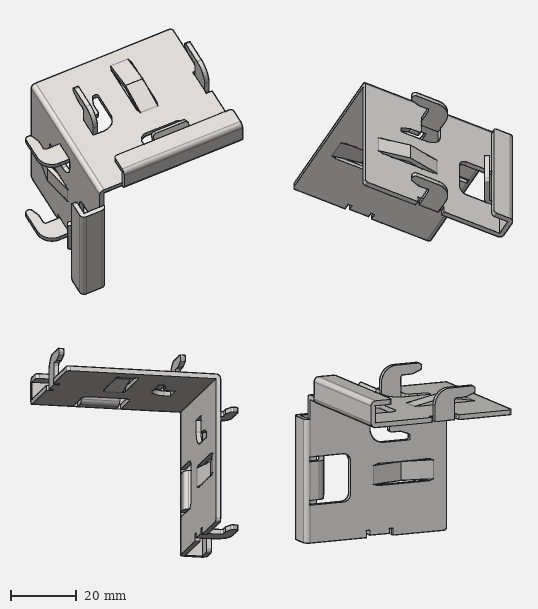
import cadquery as cq
import math


sheet = 1.5
plate_width = 46.0
top_length = 48.0
front_length = 46.05
corner_radius = 1.0
bend_radius = sheet

hook_height = 8.5
hook_tip_x = 12.25
hook_throat_x = 19.2
hook_back_x = 25.75
hook_ramp = 3.2
hook_tip_depth = 2.05
hook_arm_depth = 3.2
hook_back_radius = 5.05
hook_tip_radius = 1.0
hook_throat_radius = 0.8
hook_tip_underside_radius = 0.75
opening_length = 8.3
opening_trim = 0.3
opening_tip_radius = 0.5
notch_start_x = 17.95
notch_end_x = 26.95

top_hook_y = 8.1
top_opening_y = top_hook_y
top_notch_depth = 2.0
top_centre_y = 27.75
front_hook_y = 7.1
front_opening_y = front_hook_y + sheet
front_notch_depth = 2.2
front_centre_y = 26.8

bridge_start_x = 4.45
bridge_length = 20.1
bridge_width = 5.9
bridge_rise = 1.85
bridge_slot_width = 6.9
bridge_slot_lead = 1.5

window_start_x = 32.3
window_end_x = plate_width
window_width = 15.0
window_radius = 2.5
tab_width = 12.0
tab_height = 7.3
tab_lean = 27.0
tab_foot_x = 42.5
tab_bend_radius = 0.7
tab_corner_radius = 1.0

rail_start_y = 7.6
rail_height = 6.85
rail_lip_width = 7.0


def block(x0, x1, y0, y1, z0, z1):
    """Box between two opposite corners."""
    return cq.Workplane("XY").box(x1 - x0, y1 - y0, z1 - z0, centered=False).translate((x0, y0, z0))


def rounded(solid, direction, corner, radius):
    """Fillet the edge running in the given direction whose middle lies nearest to the corner."""
    nearest = cq.selectors.NearestToPointSelector(corner)
    return solid.edges(direction).edges(nearest).fillet(radius)


def hook_blade(height, trim, tip_radius):
    """Upright hook standing on Z = 0, one sheet thick in Y, its arm thinned by trim."""
    arm_z = height - hook_arm_depth + trim
    tip_z = height - hook_tip_depth + trim
    blade = (
        cq.Workplane("XZ")
        .polyline([
            (hook_throat_x, 0),
            (hook_throat_x, arm_z),
            (hook_tip_x + hook_ramp, arm_z),
            (hook_tip_x, tip_z),
            (hook_tip_x, height),
            (hook_back_x, height),
            (hook_back_x, 0),
        ])
        .close()
        .extrude(-sheet)
    )
    middle_y = sheet / 2
    blade = rounded(blade, "|Y", (hook_back_x, middle_y, height), hook_back_radius - trim)
    blade = rounded(blade, "|Y", (hook_throat_x, middle_y, arm_z), hook_throat_radius)
    blade = rounded(blade, "|Y", (hook_tip_x, middle_y, tip_z), hook_tip_underside_radius)
    return rounded(blade, "|Y", (hook_tip_x, middle_y, height), tip_radius)


def hook(y):
    """Hook whose face nearest the bend is at y, rooted through the sheet."""
    blade = hook_blade(hook_height, 0, hook_tip_radius).translate((0, y, 0))
    return blade.union(block(hook_throat_x, hook_back_x, y, y + sheet, -sheet, 0))


def hook_opening(y):
    """Hook-shaped hole that starts at y and points away from the bend."""
    blade = hook_blade(opening_length, opening_trim, opening_tip_radius)
    return blade.rotate((0, 0, 0), (1, 0, 0), -90).translate((0, y, 0))


def bridge_slot(y):
    """Slot that frees both long sides of the bridge, tapering to the bridge width at its ends."""
    end_x = bridge_start_x + bridge_length
    half_slot = bridge_slot_width / 2
    half_bridge = bridge_width / 2
    return (
        cq.Workplane("XY", origin=(0, y, -sheet))
        .polyline([
            (bridge_start_x, -half_bridge),
            (bridge_start_x + bridge_slot_lead, -half_slot),
            (end_x - bridge_slot_lead, -half_slot),
            (end_x, -half_bridge),
            (end_x, half_bridge),
            (end_x - bridge_slot_lead, half_slot),
            (bridge_start_x + bridge_slot_lead, half_slot),
            (bridge_start_x, half_bridge),
        ])
        .close()
        .extrude(sheet)
    )


def bridge(y):
    """Roof-shaped strip of sheet joined to the plate at both ends."""
    middle_x = bridge_start_x + bridge_length / 2
    end_x = bridge_start_x + bridge_length
    return (
        cq.Workplane("XZ", origin=(0, y, 0))
        .polyline([
            (bridge_start_x, 0),
            (middle_x, bridge_rise),
            (end_x, 0),
            (end_x, -sheet),
            (middle_x, bridge_rise - sheet),
            (bridge_start_x, -sheet),
        ])
        .close()
        .extrude(bridge_width / 2, both=True)
    )


def window(y):
    """Window rounded at the corners away from the rail."""
    half = window_width / 2
    opening = block(window_start_x, window_end_x, y - half, y + half, -sheet, 0)
    return opening.edges("|Z and <X").fillet(window_radius)


def spring_tab(y):
    """Tab rooted in the window's end, bent up and leaning back over the window."""
    lean = math.radians(tab_lean)
    length = tab_height / math.cos(lean)
    inner_top = (tab_foot_x - length * math.sin(lean), length * math.cos(lean))
    outer_top = (inner_top[0] - sheet * math.cos(lean), inner_top[1] - sheet * math.sin(lean))
    outer_foot_x = tab_foot_x - sheet * math.tan((math.pi / 2 - lean) / 2)
    tip_edges = cq.selectors.ParallelDirSelector(cq.Vector(math.cos(lean), 0, math.sin(lean)))
    strip = (
        cq.Workplane("XZ", origin=(0, y, 0))
        .polyline([
            (window_end_x, 0),
            (tab_foot_x, 0),
            inner_top,
            outer_top,
            (outer_foot_x, -sheet),
            (window_end_x, -sheet),
        ])
        .close()
        .extrude(tab_width / 2, both=True)
    )
    strip = rounded(strip, "|Y", (tab_foot_x, y, 0), tab_bend_radius)
    strip = rounded(strip, "|Y", (outer_foot_x, y, -sheet), tab_bend_radius + sheet)
    for side in (-1, 1):
        tip_corner = (
            (inner_top[0] + outer_top[0]) / 2,
            y + side * tab_width / 2,
            (inner_top[1] + outer_top[1]) / 2,
        )
        strip = rounded(strip, tip_edges, tip_corner, tab_corner_radius)
    return strip


def rail(length):
    """C-shaped rail folded up from the side edge, with its lip turned back over the plate."""
    edge_x = plate_width + sheet
    wall = block(plate_width - sheet, edge_x, rail_start_y, length, -sheet, rail_height)
    lip = block(edge_x - rail_lip_width, edge_x, rail_start_y, length, rail_height - sheet, rail_height)
    hollow = block(plate_width - sheet, plate_width, rail_start_y, length, 0, rail_height - sheet)
    folded = wall.cut(hollow).union(lip)
    folded = folded.edges("|Y and >X").fillet(bend_radius)
    return folded.edges("|Z and <X").fillet(corner_radius)


def plate(length, hook_y, opening_y, notch_depth, centre_y):
    """One flat plate with its hooks, bridge, window, spring tab and rail."""
    notch_y = length - notch_depth
    sheet_blank = block(0, plate_width, 0, length, -sheet, 0)
    sheet_blank = sheet_blank.edges("|Z and <X and >Y").fillet(corner_radius)
    return (
        sheet_blank
        .union(rail(length))
        .cut(hook_opening(opening_y))
        .cut(block(notch_start_x, notch_end_x, notch_y, length, -sheet, 0))
        .cut(bridge_slot(centre_y))
        .cut(window(centre_y))
        .union(hook(hook_y))
        .union(hook(notch_y))
        .union(bridge(centre_y))
        .union(spring_tab(centre_y))
    )


top = plate(top_length, top_hook_y, top_opening_y, top_notch_depth, top_centre_y)
front = plate(front_length, front_hook_y, front_opening_y, front_notch_depth, front_centre_y)
front = front.mirror(cq.Vector(0, 1, 1))

result = rounded(top.union(front), "|X", (plate_width / 2, 0, 0), bend_radius)